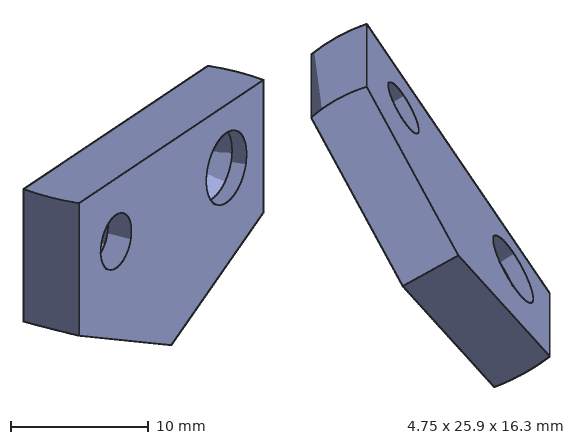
import cadquery as cq
import math

cutting_diameter = 25.95
thickness = 4.75
height = 16.27
point_slope = 24.0
hole_diameter = 4.25
hole_offset = 7.63
hole_drop = 5.03
counterbore_diameter = 5.58
counterbore_depth = 1.25
seat_depth = 1.5

radius = cutting_diameter / 2
half_thickness = thickness / 2
shoulder_height = radius * math.tan(math.radians(point_slope))
hole_height = height - hole_drop


def pointed_plate():
    """Pentagonal plate, centred on X, with its ends rounded to the cutting diameter."""
    plate = (
        cq.Workplane("YZ", origin=(-half_thickness, 0, 0))
        .polyline([
            (0, 0),
            (radius, shoulder_height),
            (radius, height),
            (-radius, height),
            (-radius, shoulder_height),
        ])
        .close()
        .extrude(thickness)
    )
    envelope = cq.Workplane("XY").circle(radius).extrude(height)
    return plate.intersect(envelope)


def screw_hole(side):
    """Through hole with counterbore and conical seat, opening on the face at X = side * half_thickness."""
    hole_radius = hole_diameter / 2
    counterbore_radius = counterbore_diameter / 2
    seat_end = counterbore_depth + seat_depth
    cutter = (
        cq.Workplane("XY")
        .polyline([
            (0, 0),
            (counterbore_radius, 0),
            (counterbore_radius, counterbore_depth),
            (hole_radius, seat_end),
            (hole_radius, thickness),
            (0, thickness),
        ])
        .close()
        .revolve(360, (0, 0, 0), (0, 1, 0))
    )
    return (
        cutter.rotate((0, 0, 0), (0, 0, 1), side * 90)
        .translate((side * half_thickness, side * hole_offset, hole_height))
    )


result = pointed_plate()
for side in (-1, 1):
    result = result.cut(screw_hole(side))